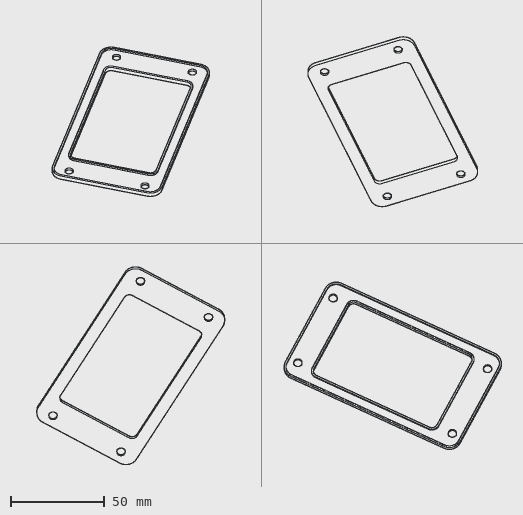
import cadquery as cq

plate_width = 60.5
plate_length = 104.0
plate_height = 2.5
plate_corner_radius = 6.5

rim_width = 1.0
recess_depth = 1.0

window_width = 47.2
window_length = 73.2
window_corner_radius = 3.0

hole_diameter = 4.5
hole_spacing_x = 42.0
hole_spacing_y = 91.9


def rounded_block(width, length, corner_radius, bottom, height):
    """Upright block centred on the Z axis with rounded vertical edges."""
    return (
        cq.Workplane("XY", origin=(0, 0, bottom))
        .rect(width, length)
        .extrude(height)
        .edges("|Z")
        .fillet(corner_radius)
    )


def recess():
    """Ring-shaped pocket that leaves a rim along the plate edge and the window."""
    floor = plate_height - recess_depth
    outside = rounded_block(
        plate_width - 2 * rim_width,
        plate_length - 2 * rim_width,
        plate_corner_radius - rim_width,
        floor,
        recess_depth,
    )
    window_rim = rounded_block(
        window_width + 2 * rim_width,
        window_length + 2 * rim_width,
        window_corner_radius + rim_width,
        floor,
        recess_depth,
    )
    return outside.cut(window_rim)


def screw_holes():
    """Four through cylinders, one near each corner."""
    return (
        cq.Workplane("XY")
        .rect(hole_spacing_x, hole_spacing_y, forConstruction=True)
        .vertices()
        .circle(hole_diameter / 2)
        .extrude(plate_height)
    )


plate = rounded_block(plate_width, plate_length, plate_corner_radius, 0, plate_height)
window = rounded_block(window_width, window_length, window_corner_radius, 0, plate_height)
result = plate.cut(window).cut(recess()).cut(screw_holes())